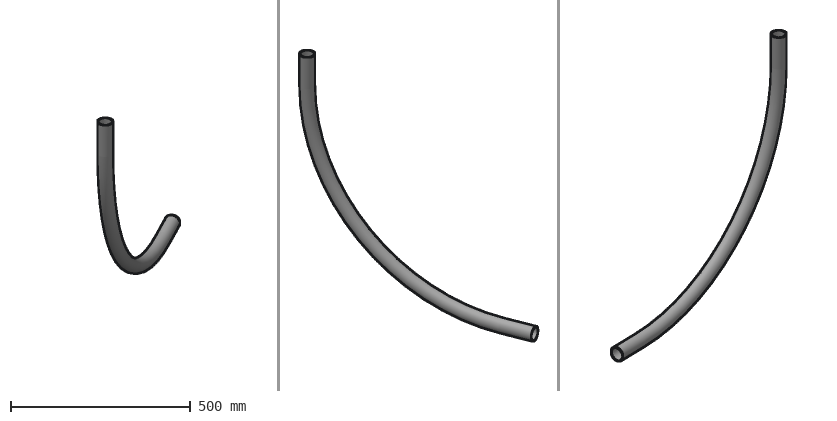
import cadquery as cq

outer_diameter = 44.45
inner_diameter = 38.35
bend_radius = 609.6
tangent_length = 101.6
bend_angle = 90


def tube_section(workplane):
    """Draw the ring-shaped cross-section of the tube."""
    return workplane.circle(outer_diameter / 2).circle(inner_diameter / 2)


def vertical_tangent():
    """Straight end rising along +Z from the start of the bend."""
    return tube_section(cq.Workplane("XY")).extrude(tangent_length)


def bend():
    """Quarter turn from the vertical tangent, down and round to +Y."""
    axis_start = (0, bend_radius)
    axis_end = (1, bend_radius)
    return tube_section(cq.Workplane("XY")).revolve(bend_angle, axis_start, axis_end)


def horizontal_tangent():
    """Straight end running along +Y from the end of the bend."""
    bend_end = (0, bend_radius, -bend_radius)
    end_plane = cq.Plane(origin=bend_end, xDir=(1, 0, 0), normal=(0, 1, 0))
    return tube_section(cq.Workplane(end_plane)).extrude(tangent_length)


result = vertical_tangent().union(bend()).union(horizontal_tangent())